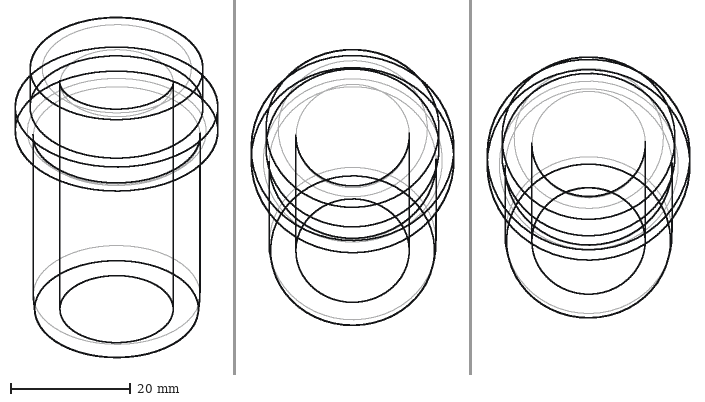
import cadquery as cq
import math

total_height = 50.0

shank_radius = 14.0
lead_height = 3.0
lead_angle = 5.0
lead_end_radius = shank_radius - lead_height * math.tan(math.radians(lead_angle))

collar_radius = 17.0
collar_height = 5.0
spigot_radius = 14.5
spigot_height = 8.0
collar_top = total_height - spigot_height
collar_bottom = collar_top - collar_height
collar_fillet = 1.0

bore_radius = 9.5
mouth_round = 3.0


def inward_upper_arc_middle(center_radius, center_height, arc_radius):
    """Middle of the quarter arc on the inward, upper side of its centre."""
    offset = arc_radius * math.sqrt(0.5)
    return center_radius - offset, center_height + offset


def bush():
    """Revolve the half section; its coordinates are radius and height."""
    fillet_center_radius = shank_radius + collar_fillet
    fillet_start = collar_bottom - collar_fillet
    fillet_middle = inward_upper_arc_middle(fillet_center_radius, fillet_start, collar_fillet)
    mouth_radius = bore_radius + mouth_round
    mouth_end = total_height - mouth_round
    mouth_middle = inward_upper_arc_middle(mouth_radius, mouth_end, mouth_round)
    section = (
        cq.Workplane("XZ")
        .moveTo(bore_radius, 0)
        .lineTo(lead_end_radius, 0)
        .lineTo(shank_radius, lead_height)
        .lineTo(shank_radius, fillet_start)
        .threePointArc(fillet_middle, (fillet_center_radius, collar_bottom))
        .lineTo(collar_radius, collar_bottom)
        .lineTo(collar_radius, collar_top)
        .lineTo(spigot_radius, collar_top)
        .lineTo(spigot_radius, total_height)
        .lineTo(mouth_radius, total_height)
        .threePointArc(mouth_middle, (bore_radius, mouth_end))
        .close()
    )
    return section.revolve(360, (0, 0, 0), (0, 1, 0))


result = bush()